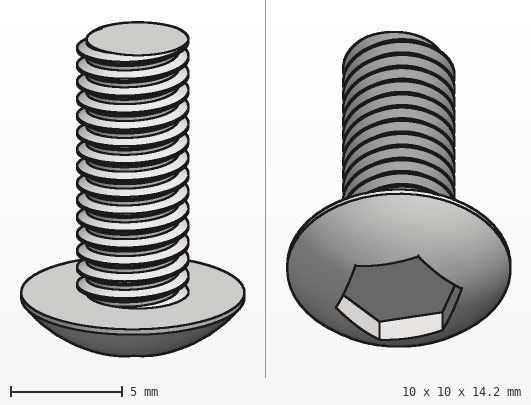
import cadquery as cq
import math

total_height = 14.19
shank_length = 12.0
head_height = total_height - shank_length
head_radius = 10.0 / 2
rim_thickness = 0.25

major_radius = 5.0 / 2
pitch = 0.8
flank_angle = 30.0
crest_width = pitch / 8
thread_depth = 0.43
minor_radius = major_radius - thread_depth
top_crest_drop = 0.17
root_overlap = 0.04

socket_across_flats = 5.0
socket_depth = 1.28


def make_head():
    """Thin rim over a spherical dome; the socket flats' midpoints are its lowest points."""
    mouth_radius = socket_across_flats / 2
    centre_z = (
        head_radius**2 + rim_thickness**2 - mouth_radius**2 - head_height**2
    ) / (2 * (head_height - rim_thickness))
    sphere_radius = math.hypot(head_radius, centre_z + rim_thickness)
    apex_z = centre_z - sphere_radius
    middle_radius = (head_radius + mouth_radius) / 2
    middle_z = centre_z - math.sqrt(sphere_radius**2 - middle_radius**2)

    head = (
        cq.Workplane("XZ")
        .moveTo(0, 0)
        .lineTo(head_radius, 0)
        .lineTo(head_radius, -rim_thickness)
        .threePointArc((middle_radius, middle_z), (0, apex_z))
        .close()
        .revolve(360, (0, 0, 0), (0, 1, 0))
    )

    socket_corner_diameter = socket_across_flats / math.cos(math.radians(30))
    socket_floor_z = socket_depth - head_height
    socket = (
        cq.Workplane("XY", origin=(0, 0, socket_floor_z))
        .transformed(rotate=(0, 0, 30))
        .polygon(6, socket_corner_diameter)
        .extrude(apex_z - socket_floor_z)
    )
    return head.cut(socket)


def make_thread_ridge():
    """Helical ridge trimmed flush with both ends of the shank."""
    turns_below_top_crest = math.ceil(shank_length / pitch) + 1
    start_z = shank_length - top_crest_drop - turns_below_top_crest * pitch
    helix_height = (turns_below_top_crest + 1) * pitch
    root_radius = minor_radius - root_overlap
    half_crest = crest_width / 2
    half_root = half_crest + (major_radius - root_radius) * math.tan(math.radians(flank_angle))

    helix = cq.Workplane(cq.Wire.makeHelix(pitch, helix_height, major_radius)).translate((0, 0, start_z))
    ridge = (
        cq.Workplane("XZ", origin=(0, 0, start_z))
        .polyline([
            (root_radius, -half_root),
            (major_radius, -half_crest),
            (major_radius, half_crest),
            (root_radius, half_root),
        ])
        .close()
        .sweep(helix, isFrenet=True)
    )
    trim = cq.Workplane("XY").circle(2 * major_radius).extrude(shank_length)
    return ridge.intersect(trim)


core = cq.Workplane("XY").circle(minor_radius).extrude(shank_length)
shank = core.union(make_thread_ridge())
result = make_head().union(shank)